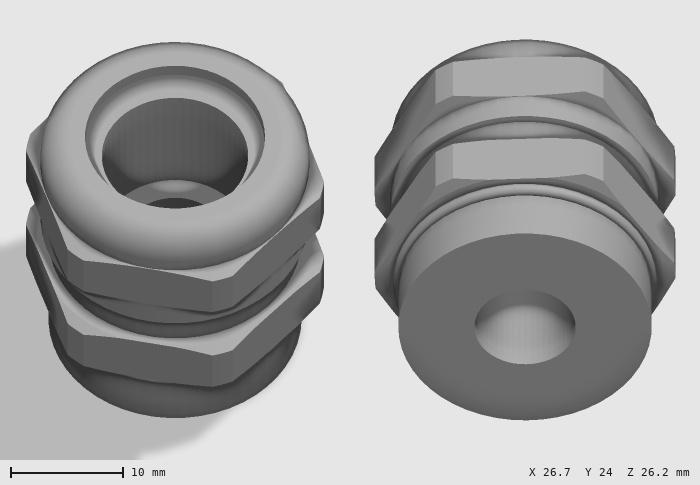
import cadquery as cq
import math


ACROSS_FLATS = 24.0
ACROSS_CORNERS = 26.7
HEX_CHAMFER_HEIGHT = 0.35

TOTAL_HEIGHT = 26.25
THREAD_TOP = 5.0
BODY_HEX_BOTTOM = 6.38
BODY_HEX_TOP = 11.6
NUT_BOTTOM = 14.68
NUT_HEX_BOTTOM = 17.25
NUT_HEX_TOP = 22.4
BODY_TOP = 23.55
NUT_LIP_BOTTOM = 24.95

BODY_RADIUS = 22.5 / 2
BODY_HEX_FACE_RADIUS = 12.28
NECK_RADIUS = 20.8 / 2
CHAMFER_RADIUS = 21.8 / 2
NUT_RADIUS = 23.9 / 2
NUT_MOUTH_RADIUS = 16.0 / 2
NUT_RECESS_RADIUS = 9.6
BORE_RADIUS = 13.0 / 2
PASSAGE_RADIUS = 9.0 / 2

NUT_ROUNDING = 2.5
BORE_FLOOR = BODY_HEX_TOP

RING_OUTER_RADIUS = 23.43 / 2
RING_SECTION_RADIUS = 1.15 / 2
RING_CENTER_RADIUS = RING_OUTER_RADIUS - RING_SECTION_RADIUS
RING_CENTER_Z = BODY_HEX_BOTTOM - RING_SECTION_RADIUS


def cylinder(radius, bottom, top):
    return cq.Workplane("XY").workplane(offset=bottom).circle(radius).extrude(top - bottom)


def hexagon(bottom, top, face_radius):
    """Hexagon with corners along X, turned corners and ends chamfered outside the face radius."""
    corner_diameter = ACROSS_FLATS / math.cos(math.pi / 6)
    prism = cq.Workplane("XY").workplane(offset=bottom).polygon(6, corner_diameter).extrude(top - bottom)
    outer = ACROSS_CORNERS / 2
    turned = (
        cq.Workplane("XZ")
        .moveTo(0, bottom)
        .lineTo(face_radius, bottom)
        .lineTo(outer, bottom + HEX_CHAMFER_HEIGHT)
        .lineTo(outer, top - HEX_CHAMFER_HEIGHT)
        .lineTo(face_radius, top)
        .lineTo(0, top)
        .close()
        .revolve(360, (0, 0, 0), (0, 1, 0))
    )
    return prism.intersect(turned)


def make_lower_body():
    """Threaded end with the sealing ring bead at its upper end."""
    bead_inset = RING_CENTER_RADIUS - CHAMFER_RADIUS
    bead_start_z = RING_CENTER_Z - math.sqrt(RING_SECTION_RADIUS**2 - bead_inset**2)
    return (
        cq.Workplane("XZ")
        .lineTo(BODY_RADIUS, 0)
        .lineTo(BODY_RADIUS, THREAD_TOP)
        .lineTo(CHAMFER_RADIUS, bead_start_z)
        .threePointArc((RING_OUTER_RADIUS, RING_CENTER_Z), (RING_CENTER_RADIUS, BODY_HEX_BOTTOM))
        .lineTo(0, BODY_HEX_BOTTOM)
        .close()
        .revolve(360, (0, 0, 0), (0, 1, 0))
    )


def make_body():
    solid = (
        make_lower_body()
        .union(hexagon(BODY_HEX_BOTTOM, BODY_HEX_TOP, BODY_HEX_FACE_RADIUS))
        .union(cylinder(BODY_RADIUS, BODY_HEX_TOP, NUT_BOTTOM))
        .union(cylinder(NECK_RADIUS, NUT_BOTTOM, BODY_TOP))
    )
    bore = cylinder(BORE_RADIUS, BORE_FLOOR, BODY_TOP)
    passage = cylinder(PASSAGE_RADIUS, 0, BORE_FLOOR)
    return solid.cut(bore).cut(passage)


def make_cap_nut():
    barrel = cylinder(NUT_RADIUS, NUT_BOTTOM, TOTAL_HEIGHT).faces(">Z").edges().fillet(NUT_ROUNDING)
    solid = barrel.union(hexagon(NUT_HEX_BOTTOM, NUT_HEX_TOP, NUT_RADIUS))
    neck_socket = cylinder(NECK_RADIUS, NUT_BOTTOM, BODY_TOP)
    recess = cylinder(NUT_RECESS_RADIUS, BODY_TOP, NUT_LIP_BOTTOM)
    mouth = cylinder(NUT_MOUTH_RADIUS, NUT_LIP_BOTTOM, TOTAL_HEIGHT)
    return solid.cut(neck_socket).cut(recess).cut(mouth)


body = make_body()
cap_nut = make_cap_nut()
result = cq.Compound.makeCompound([body.val(), cap_nut.val()])